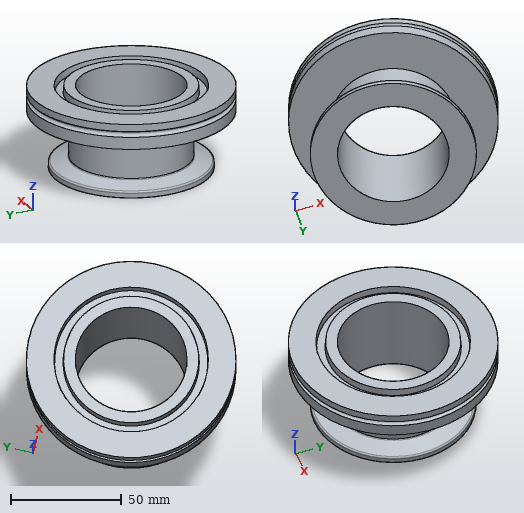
import cadquery as cq

height = 40.0
flange_radius = 47.5
neck_radius = 28.4
bore_radius = 25.3

flange_thickness = 12.2
rim_groove_top = 36.4
rim_groove_bottom = 33.7
rim_groove_depth = 1.5

recess_outer_radius = 35.0
recess_inner_radius = 30.6
recess_depth = 3.6
recess_wall_lean = 0.3

foot_radius = 37.6
foot_rim_height = 3.0
foot_cone_top = 5.5
foot_edge_fillet = 0.95
neck_root_fillet = 0.5

flange_bottom = height - flange_thickness
rim_groove_middle = (rim_groove_top + rim_groove_bottom) / 2


def revolve_profile(profile):
    """Turn a radius-height outline through a full circle about Z."""
    return profile.close().revolve(360, (0, 0, 0), (0, 1, 0))


def make_body():
    """Foot, neck and grooved flange with the through bore."""
    body = revolve_profile(
        cq.Workplane("XZ")
        .moveTo(bore_radius, 0)
        .lineTo(foot_radius, 0)
        .lineTo(foot_radius, foot_rim_height)
        .lineTo(neck_radius, foot_cone_top)
        .lineTo(neck_radius, flange_bottom)
        .lineTo(flange_radius, flange_bottom)
        .lineTo(flange_radius, rim_groove_bottom)
        .threePointArc(
            (flange_radius - rim_groove_depth, rim_groove_middle),
            (flange_radius, rim_groove_top),
        )
        .lineTo(flange_radius, height)
        .lineTo(bore_radius, height)
    )
    body = round_edge(body, foot_radius, foot_rim_height, foot_edge_fillet)
    return round_edge(body, neck_radius, foot_cone_top, neck_root_fillet)


def round_edge(body, radius, level, fillet):
    """Fillet the circular edge that has the given radius and height."""
    margin = 0.1
    reach = radius + margin
    corner_box = cq.selectors.BoxSelector(
        (-reach, -reach, level - margin), (reach, reach, level + margin), boundingbox=True
    )
    return body.edges(corner_box).fillet(fillet)


def make_recess():
    """Ring-shaped cutter for the top face, narrower at its floor."""
    floor = height - recess_depth
    return revolve_profile(
        cq.Workplane("XZ")
        .moveTo(recess_inner_radius, height)
        .lineTo(recess_inner_radius + recess_wall_lean, floor)
        .lineTo(recess_outer_radius - recess_wall_lean, floor)
        .lineTo(recess_outer_radius, height)
    )


result = make_body().cut(make_recess())